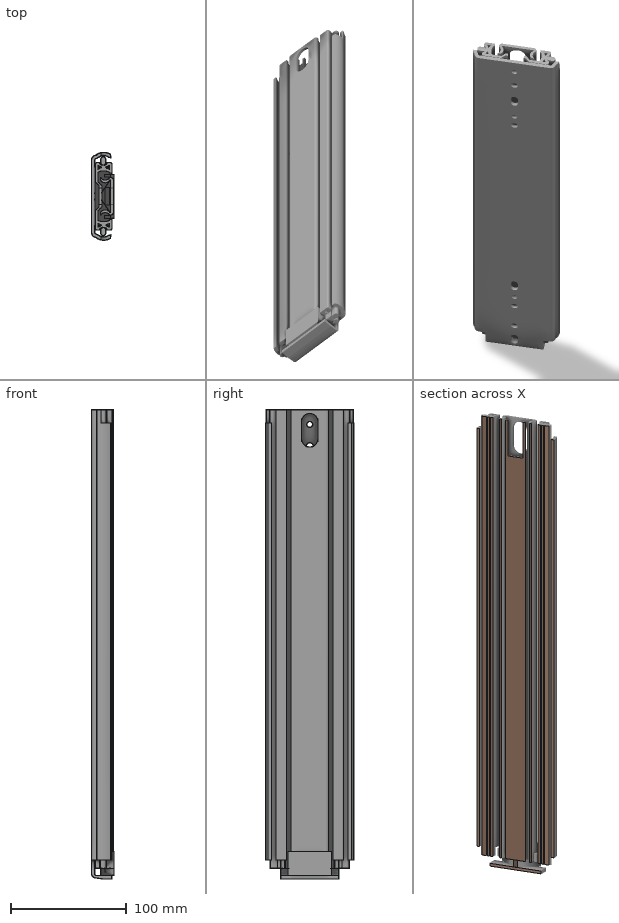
import cadquery as cq
import math


LENGTH = 406.4
HEIGHT = 76.19
SLIDE_DEPTH = 19.05

OUTER_WALL = 3.0
OUTER_END_Z = 16.5
CORNER_Y = 31.2
CORNER_RADIUS = 4.5
CROWN_X = 10.7
CROWN_HALF_CHORD = 6.0
CROWN_RISE = 1.85
LIP_X = 16.9
LIP_Y = 33.2
CROWN_TOP_Z = 394.8
CROWN_CUT_X = 8.2

FOOT_HALF_WIDTH = 25.3
FOOT_END_X = 17.8
FOOT_TOP_Z = 3.2
FOOT_BEND_RADIUS = 4.0
FOOT_HEEL_Z = 0.9
FOOT_FLAT_X = 10.0
FOOT_CORNER_RADIUS = 2.0

SMALL_HOLE = 4.9
LARGE_HOLE = 6.1
SLOT_LENGTH = 12.2
SMALL_HOLE_HEIGHTS = [72.8, 330.0, 393.5]
LARGE_HOLE_HEIGHTS = [31.8, 60.0, 317.5, 374.5]
SLOT_HEIGHTS = [12.8, 88.7, 352.0]

INNER_WALL = 2.4
MEMBERS_END_Z = 9.2

MID_LEFT_X = 3.4
MID_RIGHT_X = 17.9
MID_WEB_X = 6.8
MID_WEB_HALF = 9.0
MID_STEP_END_Y = 12.5
MID_TOP_Y = 29.3
MID_LIP_Y = 20.0
MID_GROOVE_Y = 26.9
MID_GROOVE_X = 10.3
MID_GROOVE_HALF = 3.4
MID_ARCH_Y = 22.0
MID_ARCH_SPRING_Y = 20.8
MID_HORN_RADIUS = 1.6
MID_HOLLOW_TOP_Y = 26.6
MID_HOLLOW_BOTTOM_Y = 23.4
MID_HOLLOW_DEPTH = 3.0
MID_NOTCH_X = 13.0

RAIL_WIDTH = 4.4
RAIL_TOP_Y = 34.2

INNER_HALF = 16.3
INNER_CORNER_RADIUS = 2.3
INNER_FLANGE_END_X = 8.0
INNER_GROOVE_END_X = 15.8
INNER_GROOVE_DEPTH = 2.2

OPENING_WIDTH = 14.0
OPENING_BOTTOM_Z = 374.0
OPENING_TOP_Z = 403.0

BRACKET_FACE_X = 19.7
BRACKET_HALF = 19.0
BRACKET_TOP_Z = 24.0
BRACKET_CHEEK_X = 11.5
BRACKET_CHEEK_TOP_Z = OUTER_END_Z
NOSE_X = 8.0
NOSE_HALF = 2.0
NOSE_POCKET_X = 12.0
NOSE_POCKET_END_X = 15.6
NOSE_POCKET_HALF = 7.5
NOSE_POCKET_DEPTH = 3.0


def mirrored_extrusion(half_section, z_start, z_end):
    """Extrude a section given for y >= 0 together with its mirror image."""
    half = half_section.close().extrude(z_end - z_start)
    return half.union(half.mirror("XZ")).clean()


def slot_cutter(width, z_bottom, z_top, x_start, x_end):
    """Round-ended bar along X, centred on y = 0."""
    length = z_top - z_bottom
    plane = cq.Workplane("YZ", origin=(x_start, 0, (z_bottom + z_top) / 2))
    return plane.slot2D(length, width, 90).extrude(x_end - x_start)


def section_plane(z):
    return cq.Workplane("XY", origin=(0, 0, z))


def outer_raceways():
    """Web with a crowned raceway along each side."""
    crown_y = HEIGHT / 2
    radius = (CROWN_HALF_CHORD**2 + CROWN_RISE**2) / (2 * CROWN_RISE)
    inner_radius = radius - OUTER_WALL
    centre_y = crown_y - radius
    half_angle = math.asin(CROWN_HALF_CHORD / radius)
    inner_half = inner_radius * math.sin(half_angle)
    inner_end_y = centre_y + inner_radius * math.cos(half_angle)
    diagonal = math.sqrt(0.5)
    corner_inner = CORNER_RADIUS - OUTER_WALL

    def corner_middle(r):
        return CORNER_RADIUS - r * diagonal, CORNER_Y + r * diagonal

    half = (
        section_plane(OUTER_END_Z)
        .moveTo(0, 0)
        .lineTo(0, CORNER_Y)
        .threePointArc(corner_middle(CORNER_RADIUS), (CORNER_RADIUS, CORNER_Y + CORNER_RADIUS))
        .lineTo(CROWN_X - CROWN_HALF_CHORD, crown_y - CROWN_RISE)
        .threePointArc((CROWN_X, crown_y), (CROWN_X + CROWN_HALF_CHORD, crown_y - CROWN_RISE))
        .lineTo(LIP_X, LIP_Y)
        .lineTo(CROWN_X + inner_half, inner_end_y)
        .threePointArc((CROWN_X, centre_y + inner_radius), (CROWN_X - inner_half, inner_end_y))
        .lineTo(CORNER_RADIUS, CORNER_Y + corner_inner)
        .threePointArc(corner_middle(corner_inner), (OUTER_WALL, CORNER_Y))
        .lineTo(OUTER_WALL, 0)
    )
    return mirrored_extrusion(half, OUTER_END_Z, LENGTH)


def foot():
    """Narrow end of the web, bent over toward +X."""
    bend = FOOT_BEND_RADIUS
    bend_inner = bend - OUTER_WALL
    diagonal = math.sqrt(0.5)
    bend_z = FOOT_HEEL_Z + bend
    inner_z = FOOT_TOP_Z + bend_inner
    return (
        cq.Workplane("XZ", origin=(0, FOOT_HALF_WIDTH, 0))
        .moveTo(0, OUTER_END_Z)
        .lineTo(0, bend_z)
        .threePointArc((bend - bend * diagonal, bend_z - bend * diagonal), (bend, FOOT_HEEL_Z))
        .lineTo(FOOT_FLAT_X, 0)
        .lineTo(FOOT_END_X, 0)
        .lineTo(FOOT_END_X, FOOT_TOP_Z)
        .lineTo(bend, FOOT_TOP_Z)
        .threePointArc(
            (bend - bend_inner * diagonal, inner_z - bend_inner * diagonal),
            (OUTER_WALL, inner_z),
        )
        .lineTo(OUTER_WALL, OUTER_END_Z)
        .close()
        .extrude(2 * FOOT_HALF_WIDTH)
    )


def foot_corner(side):
    """Concave fillet between the foot side and the raceway end."""
    r = FOOT_CORNER_RADIUS
    y = side * FOOT_HALF_WIDTH
    y_out = side * (FOOT_HALF_WIDTH + r)
    reach = r * (1 - math.sqrt(0.5))
    return (
        cq.Workplane("YZ")
        .moveTo(y, OUTER_END_Z)
        .lineTo(y_out, OUTER_END_Z)
        .threePointArc((y + side * reach, OUTER_END_Z - reach), (y, OUTER_END_Z - r))
        .close()
        .extrude(OUTER_WALL)
    )


def outer_member():
    body = outer_raceways().union(foot())
    for side in (-1, 1):
        body = body.union(foot_corner(side))
    crown_cut = cq.Workplane("XY").box(
        SLIDE_DEPTH, HEIGHT, LENGTH - CROWN_TOP_Z, centered=(False, True, False)
    )
    body = body.cut(crown_cut.translate((CROWN_CUT_X, 0, CROWN_TOP_Z)))
    for diameter, heights in ((SMALL_HOLE, SMALL_HOLE_HEIGHTS), (LARGE_HOLE, LARGE_HOLE_HEIGHTS)):
        for z in heights:
            hole = cq.Workplane("YZ", origin=(0, 0, z)).circle(diameter / 2).extrude(OUTER_WALL)
            body = body.cut(hole)
    for z in SLOT_HEIGHTS:
        half = SLOT_LENGTH / 2
        body = body.cut(slot_cutter(LARGE_HOLE, z - half, z + half, 0, OUTER_WALL))
    return body


def horn_hollow(wall_x, direction, side):
    """Wedge-shaped hollow between groove and arch, narrowing away from the side wall."""
    tip_y = (MID_HOLLOW_TOP_Y + MID_HOLLOW_BOTTOM_Y) / 2
    return (
        section_plane(MEMBERS_END_Z)
        .moveTo(wall_x, side * MID_HOLLOW_TOP_Y)
        .lineTo(wall_x + direction * MID_HOLLOW_DEPTH, side * tip_y)
        .lineTo(wall_x, side * MID_HOLLOW_BOTTOM_Y)
        .close()
        .extrude(LENGTH - MEMBERS_END_Z)
    )


def intermediate_member():
    """Stepped web with a grooved raceway on the outside and an arch on the inside."""
    left_in = MID_LEFT_X + INNER_WALL
    right_in = MID_RIGHT_X - INNER_WALL
    horn = MID_HORN_RADIUS
    reach = horn * (1 - math.sqrt(0.5))
    half = (
        section_plane(MEMBERS_END_Z)
        .moveTo(MID_WEB_X, 0)
        .lineTo(MID_WEB_X, MID_WEB_HALF)
        .lineTo(MID_LEFT_X, MID_STEP_END_Y)
        .lineTo(MID_LEFT_X, MID_TOP_Y - horn)
        .threePointArc(
            (MID_LEFT_X + reach, MID_TOP_Y - reach), (MID_LEFT_X + horn, MID_TOP_Y)
        )
        .lineTo(MID_GROOVE_X - MID_GROOVE_HALF, MID_TOP_Y)
        .threePointArc((MID_GROOVE_X, MID_GROOVE_Y), (MID_GROOVE_X + MID_GROOVE_HALF, MID_TOP_Y))
        .lineTo(MID_RIGHT_X - horn, MID_TOP_Y)
        .threePointArc(
            (MID_RIGHT_X - reach, MID_TOP_Y - reach), (MID_RIGHT_X, MID_TOP_Y - horn)
        )
        .lineTo(MID_RIGHT_X, MID_LIP_Y)
        .lineTo(right_in, MID_LIP_Y)
        .lineTo(right_in, MID_ARCH_SPRING_Y)
        .threePointArc((MID_GROOVE_X, MID_ARCH_Y), (left_in, MID_ARCH_SPRING_Y))
        .lineTo(left_in, MID_STEP_END_Y)
        .lineTo(MID_WEB_X + INNER_WALL, MID_WEB_HALF)
        .lineTo(MID_WEB_X + INNER_WALL, 0)
    )
    body = mirrored_extrusion(half, MEMBERS_END_Z, LENGTH)
    upper_notch = cq.Workplane("XY").box(
        INNER_WALL, OPENING_WIDTH, LENGTH - OPENING_BOTTOM_Z, centered=(False, True, False)
    )
    body = body.cut(upper_notch.translate((MID_WEB_X, 0, OPENING_BOTTOM_Z)))
    for side in (-1, 1):
        body = body.cut(horn_hollow(left_in, 1, side))
        body = body.cut(horn_hollow(right_in, -1, side))
    lower_notch = cq.Workplane("XY").box(
        SLIDE_DEPTH, HEIGHT, OUTER_END_Z - MEMBERS_END_Z, centered=(False, True, False)
    )
    return body.cut(lower_notch.translate((MID_NOTCH_X, 0, MEMBERS_END_Z)))


def bearing_rail(side):
    """Round-edged rail standing in the groove and reaching into the crown."""
    rail_height = RAIL_TOP_Y - MID_GROOVE_Y
    middle_y = side * (RAIL_TOP_Y + MID_GROOVE_Y) / 2
    return (
        section_plane(MEMBERS_END_Z)
        .center(MID_GROOVE_X, middle_y)
        .slot2D(rail_height, RAIL_WIDTH, 90)
        .extrude(LENGTH - MEMBERS_END_Z)
    )


def inner_channel():
    """Channel with a grooved flange along each side."""
    r = INNER_CORNER_RADIUS
    reach = r * (1 - math.sqrt(0.5))
    web_x = SLIDE_DEPTH - INNER_WALL
    groove_x = (INNER_FLANGE_END_X + INNER_GROOVE_END_X) / 2
    groove_y = INNER_HALF - INNER_GROOVE_DEPTH
    under_y = INNER_HALF - INNER_WALL
    half = (
        section_plane(MEMBERS_END_Z)
        .moveTo(SLIDE_DEPTH, 0)
        .lineTo(SLIDE_DEPTH, INNER_HALF - r)
        .threePointArc((SLIDE_DEPTH - reach, INNER_HALF - reach), (SLIDE_DEPTH - r, INNER_HALF))
        .lineTo(INNER_GROOVE_END_X, INNER_HALF)
        .threePointArc((groove_x, groove_y), (INNER_FLANGE_END_X, INNER_HALF))
        .lineTo(INNER_FLANGE_END_X, under_y)
        .threePointArc((groove_x, groove_y - INNER_WALL), (INNER_GROOVE_END_X, under_y))
        .lineTo(web_x, under_y)
        .lineTo(web_x, 0)
    )
    opening = slot_cutter(OPENING_WIDTH, OPENING_BOTTOM_Z, OPENING_TOP_Z, web_x, SLIDE_DEPTH)
    return mirrored_extrusion(half, MEMBERS_END_Z, LENGTH).cut(opening)


def end_bracket():
    """Face plate, two cheeks and a tapered nose closing the lower end."""
    plate_x = SLIDE_DEPTH - INNER_WALL
    plate = cq.Workplane("XY").box(
        BRACKET_FACE_X - plate_x,
        2 * BRACKET_HALF,
        BRACKET_TOP_Z - MEMBERS_END_Z,
        centered=(False, True, False),
    )
    body = plate.translate((plate_x, 0, MEMBERS_END_Z))
    for side in (-1, 1):
        cheek = cq.Workplane("XY").box(
            BRACKET_FACE_X - BRACKET_CHEEK_X,
            INNER_WALL,
            BRACKET_CHEEK_TOP_Z - MEMBERS_END_Z,
            centered=(False, True, False),
        )
        cheek_y = side * (BRACKET_HALF - INNER_WALL / 2)
        body = body.union(cheek.translate((BRACKET_CHEEK_X, cheek_y, MEMBERS_END_Z)))
    nose = (
        section_plane(FOOT_TOP_Z)
        .moveTo(NOSE_X, -NOSE_HALF)
        .lineTo(BRACKET_FACE_X, -BRACKET_HALF)
        .lineTo(BRACKET_FACE_X, BRACKET_HALF)
        .lineTo(NOSE_X, NOSE_HALF)
        .close()
        .extrude(MEMBERS_END_Z - FOOT_TOP_Z)
    )
    pocket = cq.Workplane("XY").box(
        NOSE_POCKET_END_X - NOSE_POCKET_X,
        2 * NOSE_POCKET_HALF,
        NOSE_POCKET_DEPTH,
        centered=(False, True, False),
    )
    nose = nose.cut(pocket.translate((NOSE_POCKET_X, 0, MEMBERS_END_Z - NOSE_POCKET_DEPTH)))
    return body.union(nose)


def inner_member():
    return inner_channel().union(end_bracket())


outer = outer_member()
intermediate = intermediate_member()
inner = inner_member()
rails = [bearing_rail(side).val() for side in (-1, 1)]

result = cq.Compound.makeCompound([outer.val(), intermediate.val(), inner.val(), *rails])